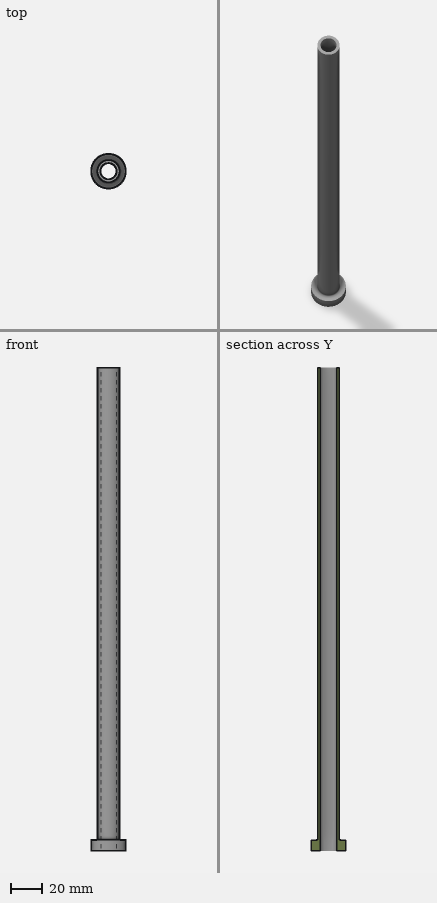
import cadquery as cq

total_length = 307.0
head_diameter = 22.0
head_height = 7.0
shaft_diameter = 14.0
bore_diameter = 10.0
root_fillet = 0.5

head = cq.Workplane("XY").circle(head_diameter / 2).extrude(head_height)
shaft = cq.Workplane("XY").circle(shaft_diameter / 2).extrude(total_length)
body = head.union(shaft)

root_edge = cq.selectors.RadiusNthSelector(0)
body = body.faces("<Z[1]").edges(root_edge).fillet(root_fillet)

result = body.faces("<Z").workplane().hole(bore_diameter)